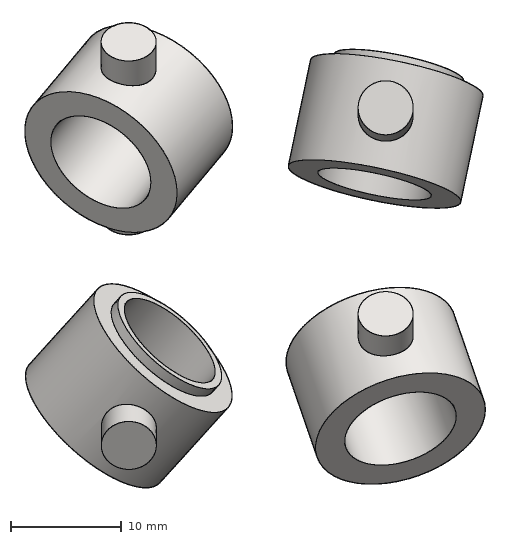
import cadquery as cq

pin_span = 22.0
ring_diameter = 16.0
bore_diameter = 10.5
lip_diameter = 12.0
pin_diameter = 5.0
total_length = 11.0
lip_length = 1.0

ring_length = total_length - lip_length


def cylinder_along_y(diameter, length):
    """Cylinder on the Y axis, from the front face at Y = 0 toward +Y."""
    return cq.Workplane("XZ").circle(diameter / 2).extrude(-length)


ring = cylinder_along_y(ring_diameter, ring_length)
lip = cylinder_along_y(lip_diameter, total_length)

pins = (
    cq.Workplane("XY")
    .center(0, ring_length / 2)
    .circle(pin_diameter / 2)
    .extrude(pin_span / 2, both=True)
)

bore = cylinder_along_y(bore_diameter, total_length)

result = ring.union(lip).union(pins).cut(bore)